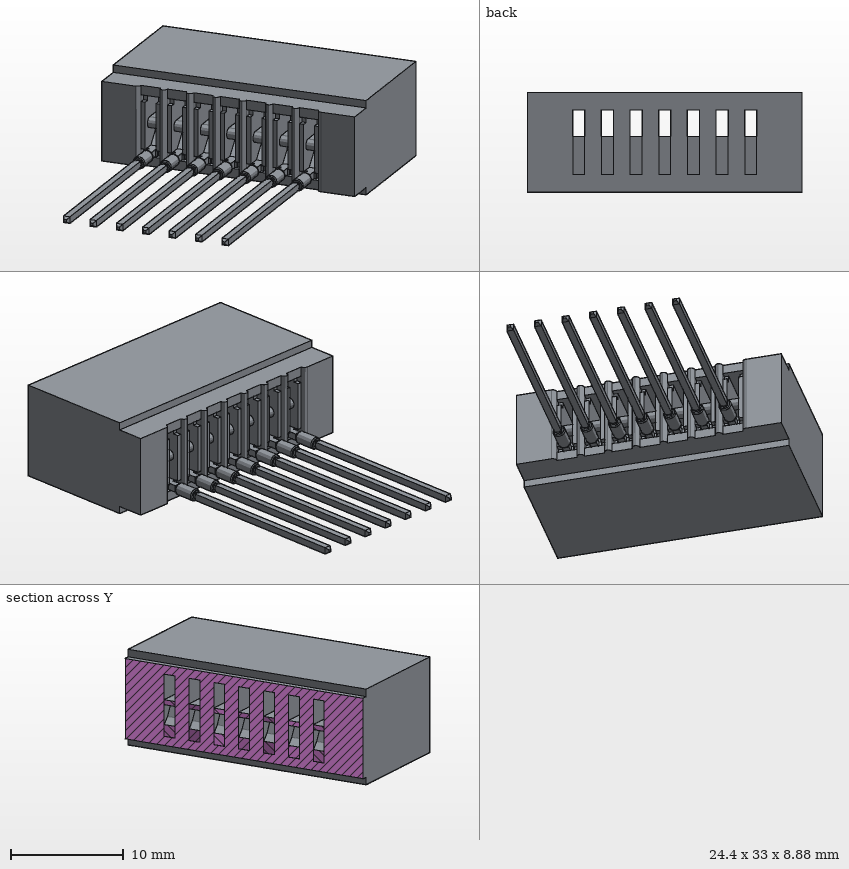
import cadquery as cq
import math


total_length = 33.02
housing_width = 24.37
housing_depth = 13.97
housing_height = 8.88

step_depth = 2.6
step_inset = 0.7

contact_count = 7
pitch = 2.55
row_height = pitch
contact_xs = [(i - (contact_count - 1) / 2) * pitch for i in range(contact_count)]

wire_size = 0.63
tip_size = 0.23
tip_length = 0.3
wire_tip_y = housing_depth - total_length

collar_diameter = 1.12
collar_front_y = -2.38
collar_back_y = -0.33
collar_chamfer = 0.1
neck_length = 0.215

recess_front_width = 2.6
recess_floor_width = 1.85
rib_radius = (recess_front_width - recess_floor_width) / 2
pocket_depth = 0.53
pocket_inner_z = row_height - wire_size / 2
pocket_outer_z = row_height + wire_size / 2

slot_width = 1.05
head_front_y = 0.73
nose_front_y = 0.9
nose_radius = 0.5
nose_z = 0.03
ramp_foot_y = 1.65
ramp_fold_y = 2.65
ramp_fold_z = -1.2
ramp_top_y = 3.3
head_back_y = 4.3


def make_block():
    """Housing block with its front end stepped in at the top and bottom."""
    half = housing_height / 2
    inner = half - step_inset
    outline = [
        (0, -inner),
        (step_depth, -inner),
        (step_depth, -half),
        (housing_depth, -half),
        (housing_depth, half),
        (step_depth, half),
        (step_depth, inner),
        (0, inner),
    ]
    return cq.Workplane("YZ").polyline(outline).close().extrude(housing_width / 2, both=True)


def make_recess(x):
    """Full-height front recess whose two sides are convex quarter rounds."""
    half_front = recess_front_width / 2
    half_floor = recess_floor_width / 2
    bend = rib_radius * math.sqrt(0.5)
    return (
        cq.Workplane("XY")
        .moveTo(x - half_front, 0)
        .threePointArc(
            (x - half_front + bend, rib_radius - bend),
            (x - half_floor, rib_radius),
        )
        .lineTo(x + half_floor, rib_radius)
        .threePointArc(
            (x + half_front - bend, rib_radius - bend),
            (x + half_front, 0),
        )
        .close()
        .extrude(housing_height / 2, both=True)
    )


def make_row_pocket(x, z):
    """Shallow pocket in the recess floor at one contact row."""
    return (
        cq.Workplane("XY")
        .box(recess_floor_width, pocket_depth, wire_size)
        .translate((x, rib_radius + pocket_depth / 2, z))
    )


def make_slot(x):
    """Contact slot that runs through the housing from front to back."""
    return (
        cq.Workplane("XY")
        .box(slot_width, housing_depth, 2 * pocket_outer_z)
        .translate((x, housing_depth / 2, 0))
    )


def make_housing():
    """Block with one recess, two row pockets and one slot at each contact."""
    housing = make_block()
    for x in contact_xs:
        housing = housing.cut(make_recess(x))
        for z in (-row_height, row_height):
            housing = housing.cut(make_row_pocket(x, z))
        housing = housing.cut(make_slot(x))
    return housing


def make_square_bar(start_y, end_y):
    """Square wire along -Y from start_y to end_y, centred on X = Z = 0."""
    return (
        cq.Workplane("XZ", origin=(0, start_y, 0))
        .rect(wire_size, wire_size)
        .extrude(start_y - end_y)
    )


def make_round_bar(start_y, end_y, diameter):
    """Round bar along -Y from start_y to end_y, centred on X = Z = 0."""
    return (
        cq.Workplane("XZ", origin=(0, start_y, 0))
        .circle(diameter / 2)
        .extrude(start_y - end_y)
    )


def make_tip(start_y):
    """Tapered wire end."""
    return (
        cq.Workplane("XZ", origin=(0, start_y, 0))
        .rect(wire_size, wire_size)
        .workplane(offset=tip_length)
        .rect(tip_size, tip_size)
        .loft(combine=True)
    )


def make_tail():
    """Square wire, interrupted by a round collar between two round necks."""
    neck_back_y = collar_back_y + neck_length
    neck_front_y = collar_front_y - neck_length
    taper_y = wire_tip_y + tip_length
    collar = make_round_bar(collar_back_y, collar_front_y, collar_diameter)
    return (
        make_square_bar(head_front_y, neck_back_y)
        .union(make_round_bar(neck_back_y, neck_front_y, wire_size))
        .union(collar.edges().chamfer(collar_chamfer))
        .union(make_square_bar(neck_front_y, taper_y))
        .union(make_tip(taper_y))
    )


def make_head():
    """Hook-shaped contact head: a foot, a two-part ramp and an arm with a round nose."""
    nose_y = nose_front_y + nose_radius
    foot_bottom = -pocket_outer_z
    foot_top = -pocket_inner_z
    arm_top = nose_z + nose_radius
    outline = [
        (head_front_y, foot_bottom),
        (head_back_y, foot_bottom),
        (head_back_y, arm_top),
        (nose_y, arm_top),
        (nose_y, nose_z),
        (ramp_top_y, nose_z),
        (ramp_fold_y, ramp_fold_z),
        (ramp_foot_y, foot_top),
        (head_front_y, foot_top),
    ]
    side = cq.Workplane("YZ", origin=(-slot_width / 2, 0, 0))
    hook = side.polyline(outline).close().extrude(slot_width)
    nose = side.center(nose_y, nose_z).circle(nose_radius).extrude(slot_width)
    return hook.union(nose)


def make_contact(x):
    """One contact: a tail on the lower row joined to its head inside the slot."""
    tail = make_tail().translate((0, 0, -row_height))
    return tail.union(make_head()).translate((x, 0, 0))


housing = make_housing()
contacts = [make_contact(x) for x in contact_xs]

result = cq.Compound.makeCompound([housing.val(), *[contact.val() for contact in contacts]])